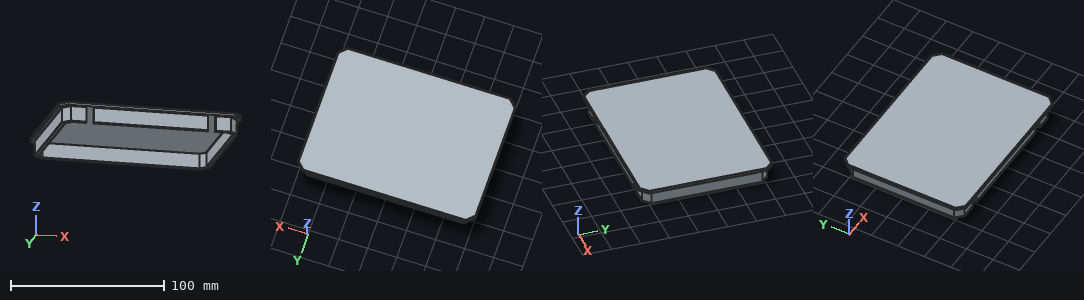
import cadquery as cq

length = 122.0
width = 91.0
height = 12.0
plate_thickness = 2.0
corner_chamfer = 5.0

wall = 2.5
rim_length = 117.3
rim_width = 86.4
rim_height = height - plate_thickness

slot_width = 5.1
slot_center = 40.8


def chamfered_slab(x_size, y_size, thickness):
    """Slab standing on Z = 0 with its four vertical edges chamfered."""
    slab = cq.Workplane("XY").box(x_size, y_size, thickness, centered=(True, True, False))
    return slab.edges("|Z").chamfer(corner_chamfer)


def make_rim():
    """Closed rim of even wall thickness, open at top and bottom."""
    outer = chamfered_slab(rim_length, rim_width, rim_height)
    return outer.faces("<Z or >Z").shell(-wall, kind="intersection")


def cut_slots(rim):
    """Open two full-height slots in the front wall only."""
    wall_center_y = -rim_width / 2 + wall / 2
    for side in (-1, 1):
        slot = cq.Workplane("XY").box(slot_width, wall, rim_height, centered=(True, True, False))
        rim = rim.cut(slot.translate((side * slot_center, wall_center_y, 0)))
    return rim


plate = chamfered_slab(length, width, plate_thickness)
plate = plate.translate((0, 0, rim_height))
result = plate.union(cut_slots(make_rim()))